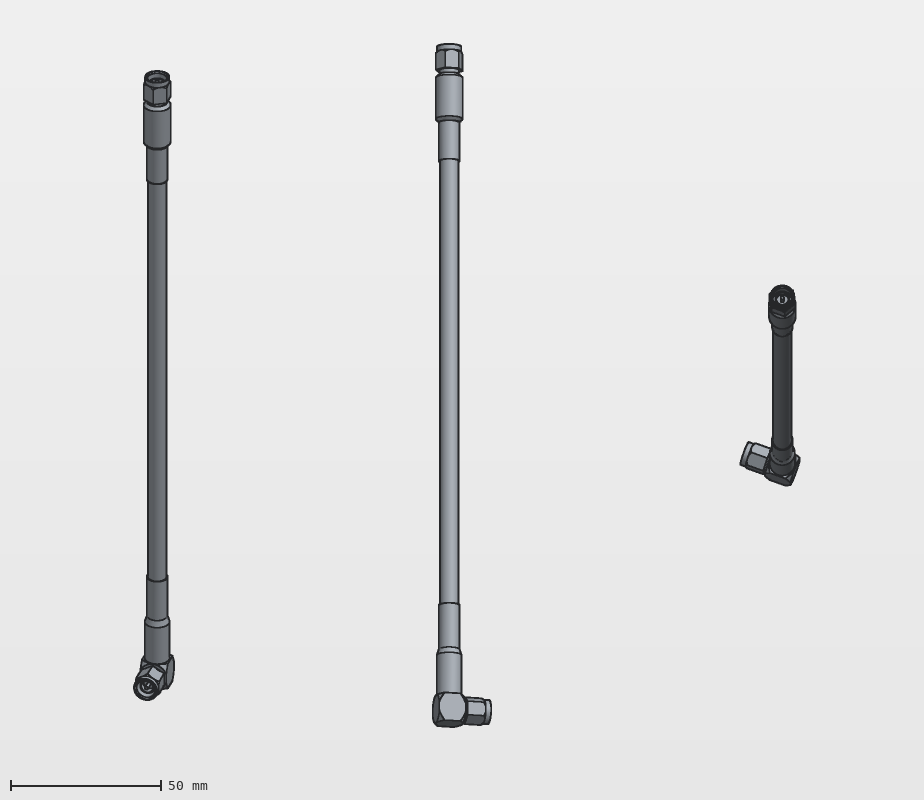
import cadquery as cq
import math


total_height = 232.2
total_depth = 18.0

neck_diameter = 6.5
nut_length = 8.1
nut_across_corners = 9.3
nut_turn_angle = 30.0
nut_corner_chamfer = 0.7
rim_length = 1.9
rim_diameter = 8.1
nut_bore_diameter = 6.5
nut_bore_depth = 4.6
bore_lead_in = 0.5
shell_outer_diameter = 4.9
shell_inner_diameter = 4.2
shell_recess = 1.9
pin_diameter = 1.2
pin_recess = 1.0

cable_diameter = 6.3
sleeve_diameter = 7.0
upper_sleeve_bottom = 193.0
lower_sleeve_top = 40.6

body_diameter = 9.0
body_top = 222.7
body_bottom = 206.2
body_chamfer = 1.2
straight_neck_length = total_height - nut_length - body_top

block_side = 9.0
block_height = 9.5
block_face_diameter = 9.5
block_corner_radius = math.hypot(block_side, block_height) / 2
elbow_axis_height = block_height / 2
elbow_neck_length = total_depth - nut_across_corners / 2 - block_side / 2 - nut_length
ferrule_diameter = 8.4
ferrule_top = 25.5
ferrule_chamfer_height = 2.0


def cylinder(diameter, bottom, top):
    """Upright cylinder on the Z axis."""
    return cq.Workplane("XY").workplane(offset=bottom).circle(diameter / 2).extrude(top - bottom)


def cone(bottom_diameter, top_diameter, bottom, top):
    """Upright truncated cone on the Z axis."""
    return cq.Workplane(
        cq.Solid.makeCone(bottom_diameter / 2, top_diameter / 2, top - bottom, pnt=cq.Vector(0, 0, bottom))
    )


def make_coupling(neck_length):
    """Neck, hexagon nut, inner shell and pin, pointing to +Z with the base at Z = 0."""
    tip = neck_length + nut_length
    shoulder = tip - rim_length
    chamfer_base = shoulder - nut_corner_chamfer
    bore_floor = tip - nut_bore_depth

    hexagon = (
        cq.Workplane("XY", origin=(0, 0, neck_length))
        .polygon(6, nut_across_corners)
        .extrude(nut_length - rim_length)
        .rotate((0, 0, 0), (0, 0, 1), nut_turn_angle)
    )
    turned_envelope = cylinder(nut_across_corners, neck_length, chamfer_base).union(
        cone(nut_across_corners, rim_diameter, chamfer_base, shoulder)
    )
    nut = hexagon.intersect(turned_envelope).union(cylinder(rim_diameter, shoulder, tip))
    nut = nut.cut(cylinder(nut_bore_diameter, bore_floor, tip))
    lead_in = cone(nut_bore_diameter, nut_bore_diameter + 2 * bore_lead_in, tip - bore_lead_in, tip)
    nut = nut.cut(lead_in)

    shell = cylinder(shell_outer_diameter, bore_floor, tip - shell_recess).cut(
        cylinder(shell_inner_diameter, bore_floor, tip - shell_recess)
    )
    pin = cylinder(pin_diameter, bore_floor, tip - pin_recess)
    return cylinder(neck_diameter, 0, neck_length).union(nut).union(shell).union(pin)


def make_cable():
    """Plain cable whose ends sit inside the two sleeves."""
    return cylinder(cable_diameter, ferrule_top, body_bottom)


def make_straight_plug():
    """Turned body with chamfered ends, a sleeve below it and the coupling above it."""
    body = (
        cylinder(body_diameter, body_bottom, body_top)
        .faces("<Z or >Z")
        .chamfer(body_chamfer)
    )
    sleeve = cylinder(sleeve_diameter, upper_sleeve_bottom, body_bottom)
    sleeve = sleeve.cut(cylinder(cable_diameter, upper_sleeve_bottom, body_bottom))
    return body.union(sleeve).union(make_coupling(straight_neck_length).translate((0, 0, body_top)))


def make_elbow_block():
    """Rectangular block with the corners of its front and back faces turned off at 45 degrees."""
    half_side = block_side / 2
    face_radius = block_face_diameter / 2
    chamfer_depth = block_corner_radius - face_radius
    turned_envelope = (
        cylinder(2 * block_corner_radius, -half_side, half_side)
        .faces("<Z or >Z")
        .chamfer(chamfer_depth)
        .rotate((0, 0, 0), (1, 0, 0), 90)
    )
    block = cq.Workplane("XY").box(block_side, block_side, block_height).intersect(turned_envelope)
    return block.translate((0, 0, elbow_axis_height))


def make_right_angle_plug():
    """Elbow block with a ferrule and sleeve going up and the coupling pointing to -Y."""
    chamfer_base = ferrule_top - ferrule_chamfer_height
    ferrule = cylinder(ferrule_diameter, block_height, chamfer_base).union(
        cone(ferrule_diameter, sleeve_diameter, chamfer_base, ferrule_top)
    )
    sleeve = cylinder(sleeve_diameter, ferrule_top, lower_sleeve_top)
    sleeve = sleeve.cut(cylinder(cable_diameter, ferrule_top, lower_sleeve_top))
    coupling = (
        make_coupling(elbow_neck_length)
        .rotate((0, 0, 0), (1, 0, 0), 90)
        .translate((0, -block_side / 2, elbow_axis_height))
    )
    return make_elbow_block().union(ferrule).union(sleeve).union(coupling)


cable = make_cable()
straight_plug = make_straight_plug()
right_angle_plug = make_right_angle_plug()

result = cq.Compound.makeCompound([cable.val(), straight_plug.val(), right_angle_plug.val()])